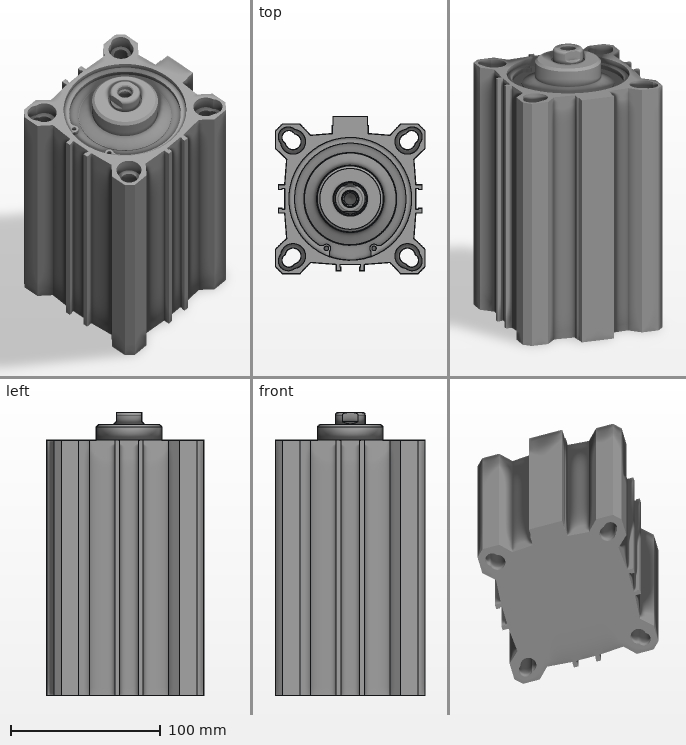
import cadquery as cq
import math

TOTAL_HEIGHT = 189.0
ROD_ABOVE_HOUSING = 18.5
HOUSING_HEIGHT = TOTAL_HEIGHT - ROD_ABOVE_HOUSING

HALF_WIDTH = 100.0 / 2
CORNER_CHAMFER = 4.7
CORNER_FLAT_END = 33.6
LUG_ROOT_ALONG = 26.5
LUG_ROOT_OUT = 42.5
FACE_OUT = 43.8

RAIL_OUT = 48.0
RAIL_OUTER_SIDE = 9.5
RAIL_LIP_SIDE = 6.2
RAIL_NECK_SIDE = 6.8
RAIL_LIP_START = 45.5

PORT_OUT = 105.0 - HALF_WIDTH
PORT_STEP_OUT = 49.0
PORT_ROOT_WIDTH = 24.2
PORT_WIDTH = 23.0

BOLT_OFFSET = 38.2
BOLT_RELIEF_OFFSET = 41.0
BOLT_DIAMETER = 10.5
BOLT_RELIEF_DIAMETER = 9.0
BOLT_RECESS_OFFSET = 38.2
BOLT_RECESS_RELIEF_OFFSET = 41.4
BOLT_RECESS_DIAMETER = 16.6
BOLT_RECESS_RELIEF_DIAMETER = 13.2
BOLT_RECESS_DEPTH = 9.6

BORE_DIAMETER = 82.0
RING_DEPTH = 3.5
RING_THICKNESS = 2.8
RING_OUTER_DIAMETER = 85.6
RING_INNER_DIAMETER = 74.5
EAR_X = 15.9
EAR_Y = -33.0
EAR_RADIUS = 2.8
ARM_EDGE_Y = -31.0
GAP_HALF_WIDTH = 14.0
EAR_HOLE_DIAMETER = 3.0

COVER_DIAMETER = 81.6
COVER_THICKNESS = 22.7
STEP_DIAMETER = 62.0
STEP_HEIGHT = 0.5
CONE_BASE_DIAMETER = 61.2
CONE_TOP_DIAMETER = 45.0
CONE_HEIGHT = 4.2
BOSS_DIAMETER = 44.0
BOSS_ABOVE_HOUSING = 10.5
BOSS_EDGE = 1.7
MOUTH_DIAMETER = 23.0
MOUTH_FLOOR_DIAMETER = 22.0
MOUTH_DEPTH = 1.5

ROD_DIAMETER = 20.0
ROD_EDGE_RADIUS = 1.9
ROD_ACROSS_FLATS = 17.0
FLAT_ABOVE_BOSS = 1.9
ROD_HOLE_DIAMETER = 8.3
ROD_HOLE_DEPTH = 18.9
DRILL_POINT_ANGLE = 118.0
ROD_MOUTH_DIAMETER = 10.2
ROD_MOUTH_DEPTH = 3.5
ROD_MOUTH_EDGE_DIAMETER = 11.5

RING_TOP = HOUSING_HEIGHT - RING_DEPTH
COVER_TOP = RING_TOP - RING_THICKNESS
COVER_BOTTOM = COVER_TOP - COVER_THICKNESS
BOSS_TOP = HOUSING_HEIGHT + BOSS_ABOVE_HOUSING


def cylinder(diameter, bottom, top):
    return cq.Workplane("XY").workplane(offset=bottom).circle(diameter / 2).extrude(top - bottom)


def box_between(x0, x1, y0, y1, bottom, top):
    return cq.Workplane("XY").box(x1 - x0, y1 - y0, top - bottom, centered=False).translate((x0, y0, bottom))


def housing_block():
    """Four-lobed profile with chamfered lugs at the corners and slightly bowed faces."""
    side = [
        (-CORNER_FLAT_END, HALF_WIDTH),
        (-LUG_ROOT_ALONG, LUG_ROOT_OUT),
        (-RAIL_OUTER_SIDE, FACE_OUT),
        (RAIL_OUTER_SIDE, FACE_OUT),
        (LUG_ROOT_ALONG, LUG_ROOT_OUT),
        (CORNER_FLAT_END, HALF_WIDTH),
        (HALF_WIDTH - CORNER_CHAMFER, HALF_WIDTH),
        (HALF_WIDTH, HALF_WIDTH - CORNER_CHAMFER),
    ]
    outline = []
    for _ in range(4):
        outline += side
        side = [(y, -x) for x, y in side]
    return cq.Workplane("XY").polyline(outline).close().extrude(HOUSING_HEIGHT)


def rail_pair():
    """Two hooked rails on the +Y face, with lips facing each other."""
    rail = (
        cq.Workplane("XY")
        .polyline([
            (RAIL_OUTER_SIDE, LUG_ROOT_OUT),
            (RAIL_OUTER_SIDE, RAIL_OUT),
            (RAIL_LIP_SIDE, RAIL_OUT),
            (RAIL_LIP_SIDE, RAIL_LIP_START),
            (RAIL_NECK_SIDE, RAIL_LIP_START),
            (RAIL_NECK_SIDE, LUG_ROOT_OUT),
        ])
        .close()
        .extrude(HOUSING_HEIGHT)
    )
    return rail.union(rail.mirror("YZ"))


def port_block():
    half_root = PORT_ROOT_WIDTH / 2
    half_head = PORT_WIDTH / 2
    root = box_between(-half_root, half_root, LUG_ROOT_OUT, PORT_STEP_OUT, 0, HOUSING_HEIGHT)
    head = box_between(-half_head, half_head, LUG_ROOT_OUT, PORT_OUT, 0, HOUSING_HEIGHT)
    return root.union(head)


def corner_hole(diameter, offset, relief_diameter, relief_offset, bottom):
    """Bolt hole at the (+X, +Y) corner, from the given level up to the top face."""
    main = cylinder(diameter, bottom, HOUSING_HEIGHT).translate((offset, offset, 0))
    relief = cylinder(relief_diameter, bottom, HOUSING_HEIGHT)
    return main.union(relief.translate((relief_offset, relief_offset, 0)))


def make_housing():
    body = housing_block().union(port_block())
    for angle in (90, 180, 270):
        body = body.union(rail_pair().rotate((0, 0, 0), (0, 0, 1), angle))

    bolt_hole = corner_hole(BOLT_DIAMETER, BOLT_OFFSET, BOLT_RELIEF_DIAMETER, BOLT_RELIEF_OFFSET, 0)
    bolt_recess = corner_hole(
        BOLT_RECESS_DIAMETER,
        BOLT_RECESS_OFFSET,
        BOLT_RECESS_RELIEF_DIAMETER,
        BOLT_RECESS_RELIEF_OFFSET,
        HOUSING_HEIGHT - BOLT_RECESS_DEPTH,
    )
    for angle in (0, 90, 180, 270):
        for cutter in (bolt_hole, bolt_recess):
            body = body.cut(cutter.rotate((0, 0, 0), (0, 0, 1), angle))

    bore = cylinder(BORE_DIAMETER, COVER_BOTTOM, HOUSING_HEIGHT)
    ring_groove = cylinder(RING_OUTER_DIAMETER, COVER_TOP, RING_TOP)
    return body.cut(bore).cut(ring_groove)


def make_retaining_ring():
    """Open ring lying on the cover, with a pierced ear at each end."""
    disc = cylinder(RING_OUTER_DIAMETER, COVER_TOP, RING_TOP)
    ring = disc.cut(cylinder(RING_INNER_DIAMETER, COVER_TOP, RING_TOP))

    outer_radius = RING_OUTER_DIAMETER / 2
    gap = box_between(-GAP_HALF_WIDTH, GAP_HALF_WIDTH, -outer_radius, 0, COVER_TOP, RING_TOP)
    ring = ring.cut(gap)

    for side in (-1, 1):
        place = (side * EAR_X, EAR_Y, 0)
        arm_ends = sorted((side * GAP_HALF_WIDTH, side * outer_radius))
        arm = box_between(*arm_ends, -outer_radius, ARM_EDGE_Y, COVER_TOP, RING_TOP).intersect(disc)
        ear = cylinder(2 * EAR_RADIUS, COVER_TOP, RING_TOP).translate(place)
        hole = cylinder(EAR_HOLE_DIAMETER, COVER_TOP, RING_TOP).translate(place)
        ring = ring.union(arm).union(ear).cut(hole)
    return ring


def make_cover():
    """Turned cover whose top slopes up to a central boss around the rod."""
    floor_radius = MOUTH_FLOOR_DIAMETER / 2
    mouth_radius = MOUTH_DIAMETER / 2
    mouth_chamfer = mouth_radius - floor_radius
    boss_radius = BOSS_DIAMETER / 2
    step_top = COVER_TOP + STEP_HEIGHT
    cone_top = step_top + CONE_HEIGHT
    profile = [
        (ROD_DIAMETER / 2, COVER_BOTTOM),
        (COVER_DIAMETER / 2, COVER_BOTTOM),
        (COVER_DIAMETER / 2, COVER_TOP),
        (STEP_DIAMETER / 2, COVER_TOP),
        (STEP_DIAMETER / 2, step_top),
        (CONE_BASE_DIAMETER / 2, step_top),
        (CONE_TOP_DIAMETER / 2, cone_top),
        (boss_radius, cone_top),
        (boss_radius, BOSS_TOP - BOSS_EDGE),
        (boss_radius - BOSS_EDGE, BOSS_TOP),
        (mouth_radius, BOSS_TOP),
        (floor_radius, BOSS_TOP - mouth_chamfer),
        (floor_radius, BOSS_TOP - MOUTH_DEPTH),
        (ROD_DIAMETER / 2, BOSS_TOP - MOUTH_DEPTH),
    ]
    return cq.Workplane("XZ").polyline(profile).close().revolve(360, (0, 0), (0, 1))


def make_rod():
    """Round rod with two wrench flats, a rounded end and a drilled hole."""
    rod = cylinder(ROD_DIAMETER, COVER_BOTTOM, TOTAL_HEIGHT).faces(">Z").edges().fillet(ROD_EDGE_RADIUS)

    flat = ROD_ACROSS_FLATS / 2
    radius = ROD_DIAMETER / 2
    flat_bottom = BOSS_TOP + FLAT_ABOVE_BOSS
    flat_cutter = (
        cq.Workplane("YZ")
        .polyline([
            (flat, TOTAL_HEIGHT),
            (flat, flat_bottom),
            (radius, flat_bottom - (radius - flat)),
            (radius, TOTAL_HEIGHT),
        ])
        .close()
        .extrude(radius, both=True)
    )
    rod = rod.cut(flat_cutter).cut(flat_cutter.mirror("XZ"))

    hole_radius = ROD_HOLE_DIAMETER / 2
    mouth_radius = ROD_MOUTH_DIAMETER / 2
    edge_radius = ROD_MOUTH_EDGE_DIAMETER / 2
    mouth_floor = TOTAL_HEIGHT - ROD_MOUTH_DEPTH
    hole_bottom = TOTAL_HEIGHT - ROD_HOLE_DEPTH
    point_depth = hole_radius / math.tan(math.radians(DRILL_POINT_ANGLE / 2))
    hole_profile = [
        (0, hole_bottom - point_depth),
        (hole_radius, hole_bottom),
        (hole_radius, mouth_floor - (mouth_radius - hole_radius)),
        (mouth_radius, mouth_floor),
        (mouth_radius, TOTAL_HEIGHT - (edge_radius - mouth_radius)),
        (edge_radius, TOTAL_HEIGHT),
        (0, TOTAL_HEIGHT),
    ]
    hole = cq.Workplane("XZ").polyline(hole_profile).close().revolve(360, (0, 0), (0, 1))
    return rod.cut(hole)


housing = make_housing()
retaining_ring = make_retaining_ring()
cover = make_cover()
rod = make_rod()

result = cq.Compound.makeCompound([housing.val(), retaining_ring.val(), cover.val(), rod.val()])